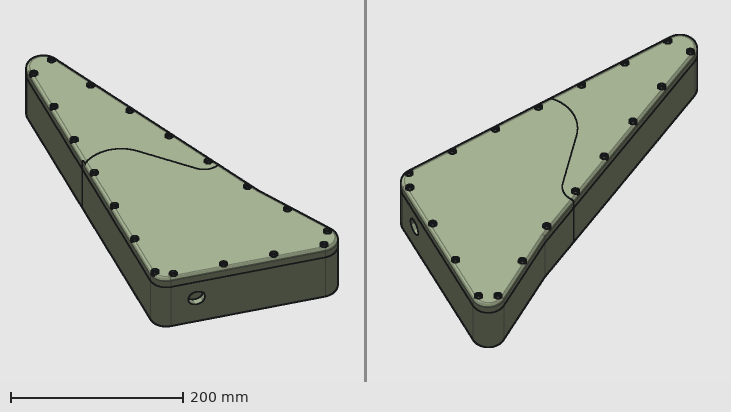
import cadquery as cq
import math

LENGTH = 429.0
WIDTH = 225.0
HEIGHT = 80.0
LID_HEIGHT = 14.0
BASE_HEIGHT = HEIGHT - LID_HEIGHT
EDGE_ROUND = 4.0

CORNER_RADIUS = 20.0
LEFT_CORNER = (CORNER_RADIUS, CORNER_RADIUS)
RIGHT_CORNER = (384.5, CORNER_RADIUS)
BACK_CORNER = (LENGTH - CORNER_RADIUS, WIDTH - CORNER_RADIUS)
BEND = (307.2, 170.0)

UPPER_SEAM_CENTRE = (232.0, 132.5)
UPPER_SEAM_RADIUS = 22.0
LOWER_SEAM_CENTRE = (227.0, 30.5)
LOWER_SEAM_RADIUS = 48.0
SEAM_STEP_X = 183.0
SEAM_STEP_DEPTH = 1.5

MARGIN = 43.0

SCREW_HEAD_DIAMETER = 9.0
SCREW_HEAD_DEPTH = 3.0
SCREW_HOLE_DIAMETER = 4.7
FRONT_INSET = 5.0
FRONT_ROW = ((27.0, FRONT_INSET), (387.0, FRONT_INSET), 7)
RIGHT_ROW = ((398.2, 23.5), (422.0, 203.5), 4)
BEND_SCREW = (298.0, 159.5)
BACK_ROW = ((14.0, 33.0), BEND_SCREW, 6)
UPPER_ROW = ((403.0, 216.0), BEND_SCREW, 3)

PORT_DIAMETER = 20.0
PORT_DEPTH = 8.5
PORT_HEIGHT = HEIGHT / 2
PORT_ALONG_WALL = 31.5


def polar(centre, radius, angle):
    """Point on a circle; the angle is in radians."""
    return (centre[0] + radius * math.cos(angle), centre[1] + radius * math.sin(angle))


def direction(start, end):
    """Angle of the line from one point to another, in radians."""
    return math.atan2(end[1] - start[1], end[0] - start[0])


def along(start, angle, distance, inset=0.0):
    """Point at a distance along a wall, moved to the left of its direction by the inset."""
    return polar(polar(start, distance, angle), inset, angle + math.pi / 2)


def tangent_turn(centre, radius, point):
    """Angle between the line from the point to the centre and the tangent line to the circle."""
    return math.asin(radius / math.dist(centre, point))


RIGHT_WALL = direction(RIGHT_CORNER, BACK_CORNER)
BEND_WALL = direction(BACK_CORNER, BEND) + tangent_turn(BACK_CORNER, CORNER_RADIUS, BEND)
BACK_WALL = direction(BEND, LEFT_CORNER) - tangent_turn(LEFT_CORNER, CORNER_RADIUS, BEND)

RIGHT_WALL_START = along(RIGHT_CORNER, RIGHT_WALL, 0, -CORNER_RADIUS)
RIGHT_WALL_END = along(BACK_CORNER, RIGHT_WALL, 0, -CORNER_RADIUS)
BEND_WALL_START = along(BACK_CORNER, BEND_WALL, 0, -CORNER_RADIUS)
BACK_WALL_END = along(LEFT_CORNER, BACK_WALL, 0, -CORNER_RADIUS)


def corner_middle(centre, wall_before, wall_after):
    """Middle of the corner arc between two walls."""
    turn = (wall_after - wall_before) % (2 * math.pi)
    return polar(centre, CORNER_RADIUS, wall_before + turn / 2 - math.pi / 2)


def case_block():
    """The whole closed case, with its top and bottom edges rounded."""
    return (
        cq.Workplane("XY")
        .moveTo(LEFT_CORNER[0], 0)
        .lineTo(RIGHT_CORNER[0], 0)
        .threePointArc(corner_middle(RIGHT_CORNER, 0, RIGHT_WALL), RIGHT_WALL_START)
        .lineTo(*RIGHT_WALL_END)
        .threePointArc(corner_middle(BACK_CORNER, RIGHT_WALL, BEND_WALL), BEND_WALL_START)
        .lineTo(*BEND)
        .lineTo(*BACK_WALL_END)
        .threePointArc(corner_middle(LEFT_CORNER, BACK_WALL, 0), (LEFT_CORNER[0], 0))
        .close()
        .extrude(HEIGHT)
        .faces("<Z or >Z")
        .edges()
        .fillet(EDGE_ROUND)
    )


def left_region():
    """Everything on the left of the seam, over the full height."""
    centre_line = direction(LOWER_SEAM_CENTRE, UPPER_SEAM_CENTRE)
    centre_gap = math.dist(LOWER_SEAM_CENTRE, UPPER_SEAM_CENTRE)
    tangent_angle = math.acos((LOWER_SEAM_RADIUS + UPPER_SEAM_RADIUS) / centre_gap)
    lower_end = centre_line + tangent_angle
    upper_end = lower_end - math.pi

    lower_start = math.pi - math.asin((SEAM_STEP_DEPTH - LOWER_SEAM_CENTRE[1]) / LOWER_SEAM_RADIUS)
    step_corner = polar(LOWER_SEAM_CENTRE, LOWER_SEAM_RADIUS, lower_start)
    lower_middle = (lower_start + lower_end) / 2
    upper_top = math.pi / 2
    upper_middle = (upper_end + upper_top) / 2

    return (
        cq.Workplane("XY")
        .moveTo(-MARGIN, -MARGIN)
        .lineTo(SEAM_STEP_X, -MARGIN)
        .lineTo(SEAM_STEP_X, SEAM_STEP_DEPTH)
        .lineTo(*step_corner)
        .threePointArc(
            polar(LOWER_SEAM_CENTRE, LOWER_SEAM_RADIUS, lower_middle),
            polar(LOWER_SEAM_CENTRE, LOWER_SEAM_RADIUS, lower_end),
        )
        .lineTo(*polar(UPPER_SEAM_CENTRE, UPPER_SEAM_RADIUS, upper_end))
        .threePointArc(
            polar(UPPER_SEAM_CENTRE, UPPER_SEAM_RADIUS, upper_middle),
            polar(UPPER_SEAM_CENTRE, UPPER_SEAM_RADIUS, upper_top),
        )
        .lineTo(-MARGIN, UPPER_SEAM_CENTRE[1] + UPPER_SEAM_RADIUS)
        .close()
        .extrude(HEIGHT)
    )


def row_points(start, end, count):
    """Evenly spaced points from the start of a row to its end."""
    pitch = math.dist(start, end) / (count - 1)
    return [polar(start, i * pitch, direction(start, end)) for i in range(count)]


def screw_points():
    """All the screw positions; the back and upper rows share the screw at the bend."""
    upper_points = row_points(*UPPER_ROW)[:-1]
    return row_points(*FRONT_ROW) + row_points(*RIGHT_ROW) + row_points(*BACK_ROW) + upper_points


def drill_screws(block):
    """Counterbored screw holes through the lid."""
    return (
        block.faces(">Z")
        .workplane(origin=(0, 0, HEIGHT))
        .pushPoints(screw_points())
        .cboreHole(SCREW_HOLE_DIAMETER, SCREW_HEAD_DIAMETER, SCREW_HEAD_DEPTH, LID_HEIGHT)
    )


def port_cutter():
    """Cylinder that enters the right-hand wall square to its face."""
    x, y = along(RIGHT_WALL_START, RIGHT_WALL, PORT_ALONG_WALL)
    inward = cq.Vector(-math.sin(RIGHT_WALL), math.cos(RIGHT_WALL), 0)
    return cq.Workplane(
        cq.Solid.makeCylinder(PORT_DIAMETER / 2, PORT_DEPTH, cq.Vector(x, y, PORT_HEIGHT), inward)
    )


def lid_region():
    """Everything above the parting plane between the base and the lid."""
    return cq.Workplane("XY", origin=(0, 0, BASE_HEIGHT)).box(
        LENGTH + MARGIN, WIDTH + MARGIN, LID_HEIGHT, centered=False
    ).translate((-MARGIN / 2, -MARGIN / 2, 0))


case = drill_screws(case_block()).cut(port_cutter())
lid = case.intersect(lid_region())
base = case.cut(lid_region())

left_lid = lid.intersect(left_region())
right_lid = lid.cut(left_region())
left_base = base.intersect(left_region())
right_base = base.cut(left_region())

result = cq.Compound.makeCompound(
    [left_base.val(), right_base.val(), left_lid.val(), right_lid.val()]
)